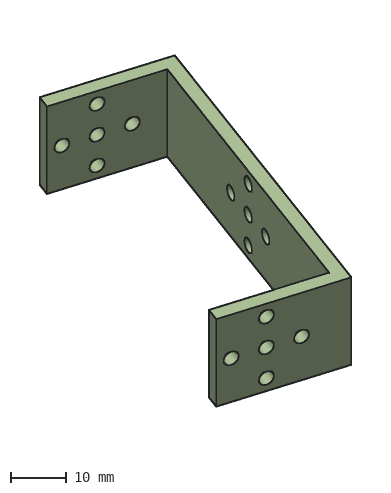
import cadquery as cq

length = 71.0
depth = 27.0
height = 20.0
thickness = 3.0

hole_diameter = 3.0
hole_pitch = 7.0
arm_pattern_setback = 10.0

cross_points = [
    (0, 0),
    (hole_pitch, 0),
    (-hole_pitch, 0),
    (0, hole_pitch),
    (0, -hole_pitch),
]


def make_bracket():
    """Back plate at +Y with one arm at each end reaching toward -Y."""
    block = cq.Workplane("XY").box(length, depth, height)
    gap = (
        cq.Workplane("XY")
        .box(length - 2 * thickness, depth - thickness, height)
        .translate((0, -thickness / 2, 0))
    )
    return block.cut(gap)


def make_hole_cutters(plane, center, reach):
    """Five parallel cylinders extending the given reach to both sides of the plane."""
    return (
        cq.Workplane(plane, origin=center)
        .pushPoints(cross_points)
        .circle(hole_diameter / 2)
        .extrude(reach, both=True)
    )


arm_pattern_y = -depth / 2 + arm_pattern_setback
back_holes = make_hole_cutters("XZ", (0, 0, 0), depth)
arm_holes = make_hole_cutters("YZ", (0, arm_pattern_y, 0), length)

result = make_bracket().cut(back_holes).cut(arm_holes)